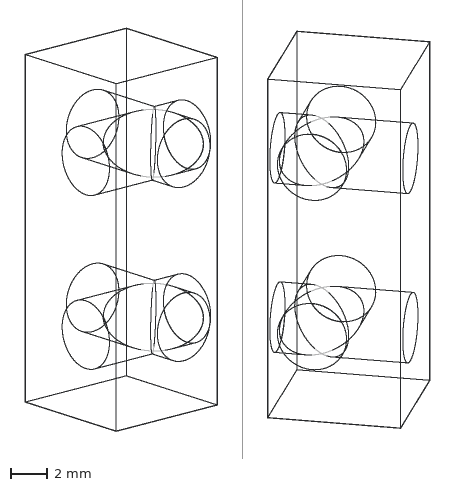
import cadquery as cq

side = 7.5
height = 20.0
hole_diameter = 3.9
hole_offset = 5.0
hole_spacing = height / 2

hole_heights = [
    height / 2 - hole_spacing / 2,
    height / 2 + hole_spacing / 2,
]


def make_block():
    """Square block with one bottom corner at the origin."""
    return cq.Workplane("XY").box(side, side, height, centered=False)


def make_cross_drilling(z):
    """Two perpendicular through-hole cutters, along Y and along X, at height z."""
    radius = hole_diameter / 2
    along_y = cq.Solid.makeCylinder(radius, side, cq.Vector(hole_offset, 0, z), cq.Vector(0, 1, 0))
    along_x = cq.Solid.makeCylinder(radius, side, cq.Vector(0, hole_offset, z), cq.Vector(1, 0, 0))
    return along_y, along_x


result = make_block()
for hole_height in hole_heights:
    for cutter in make_cross_drilling(hole_height):
        result = result.cut(cq.Workplane(obj=cutter))